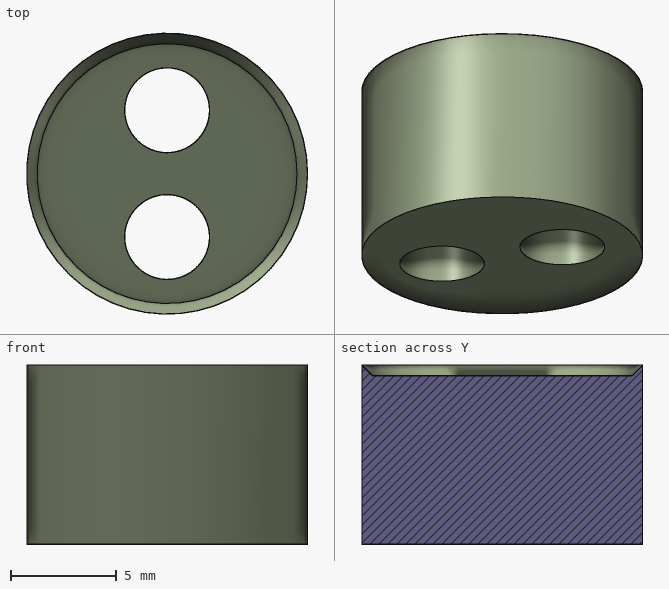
import cadquery as cq

body_diameter = 13.3
body_height = 8.5
recess_depth = 0.5
hole_diameter = 4.0
hole_spacing = 6.0

rim_radius = body_diameter / 2
floor_radius = rim_radius - recess_depth
floor_height = body_height - recess_depth


def dished_body():
    """Cylinder with a shallow conical recess in its top, revolved about Z."""
    return (
        cq.Workplane("XZ")
        .moveTo(0, 0)
        .lineTo(rim_radius, 0)
        .lineTo(rim_radius, body_height)
        .lineTo(floor_radius, floor_height)
        .lineTo(0, floor_height)
        .close()
        .revolve(360, (0, 0, 0), (0, 1, 0))
    )


def through_holes():
    """Two vertical bores, placed symmetrically along Y."""
    return (
        cq.Workplane("XY")
        .pushPoints([(0, -hole_spacing / 2), (0, hole_spacing / 2)])
        .circle(hole_diameter / 2)
        .extrude(body_height)
    )


result = dished_body().cut(through_holes())